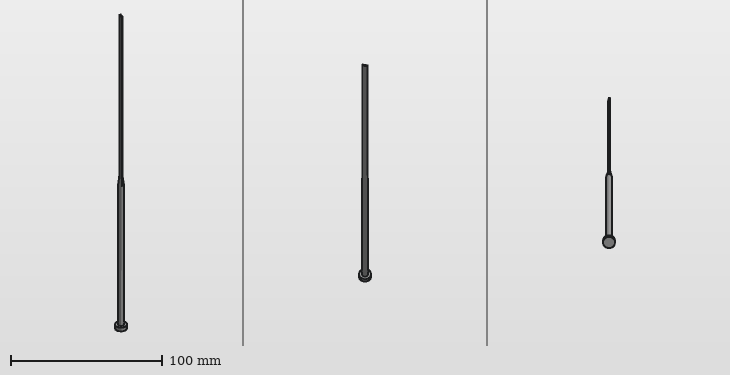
import cadquery as cq
import math

total_length = 250.0
head_diameter = 8.0
head_height = 3.0
shaft_diameter = 4.0
blade_width = 3.5
blade_thickness = 1.0
blade_length = total_length / 2
transition_length = 10.0

shaft_radius = shaft_diameter / 2
blade_base_z = total_length - blade_length
shaft_top_z = blade_base_z - transition_length

corner_angle = math.atan2(blade_thickness, blade_width)


def make_head():
    return cq.Workplane("XY").circle(head_diameter / 2).extrude(head_height)


def make_shaft():
    return cq.Workplane("XY").circle(shaft_radius).extrude(shaft_top_z)


def make_transition():
    """Blend from the round shaft to the rectangular blade.

    The rim is four arcs, one per side of the blade, so the blend is symmetric.
    """
    x = shaft_radius * math.cos(corner_angle)
    y = shaft_radius * math.sin(corner_angle)
    return (
        cq.Workplane("XY", origin=(0, 0, shaft_top_z))
        .moveTo(-x, -y)
        .threePointArc((0, -shaft_radius), (x, -y))
        .threePointArc((shaft_radius, 0), (x, y))
        .threePointArc((0, shaft_radius), (-x, y))
        .threePointArc((-shaft_radius, 0), (-x, -y))
        .close()
        .workplane(offset=transition_length, origin=(0, 0, shaft_top_z))
        .rect(blade_width, blade_thickness)
        .loft(ruled=True)
    )


def make_blade():
    return (
        cq.Workplane("XY", origin=(0, 0, blade_base_z))
        .rect(blade_width, blade_thickness)
        .extrude(blade_length)
    )


result = make_head().union(make_shaft()).union(make_transition()).union(make_blade())